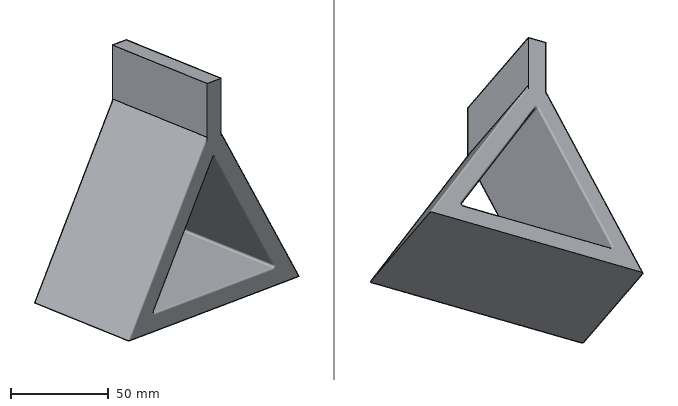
import cadquery as cq
import math

width = 70.0
frame_height = 97.0
plate_height = 30.0
plate_thickness = 10.0
wall = 10.0
slope_angle = 60.0
window_radius = 1.0
edge_radius = 1.0

slope = math.tan(math.radians(slope_angle))
half_plate = plate_thickness / 2
half_base = half_plate + frame_height / slope
total_height = frame_height + plate_height
apex_height = half_base * slope
window_apex = apex_height - wall / math.cos(math.radians(slope_angle))
window_half_base = (window_apex - wall) / slope


def side_prism(points):
    """Extrude a closed YZ outline over the full width, centred on X = 0."""
    return cq.Workplane("YZ").polyline(points).close().extrude(width / 2, both=True)


def make_body():
    """Triangular frame and upright plate, with both end edges of each slope rounded."""
    body = side_prism([
        (-half_base, 0),
        (half_base, 0),
        (half_plate, frame_height),
        (half_plate, total_height),
        (-half_plate, total_height),
        (-half_plate, frame_height),
    ])
    end_faces = body.faces("<X or >X")
    slope_edges = end_faces.edges("not (|Y or |Z)")
    return slope_edges.fillet(edge_radius)


def make_window():
    """Round-cornered triangular prism spanning the full width."""
    window = side_prism([
        (-window_half_base, wall),
        (window_half_base, wall),
        (0, window_apex),
    ])
    return window.edges("|X").fillet(window_radius)


def cut_window(body):
    """Cut the window through the frame and round its rim on both end faces."""
    pierced = body.cut(make_window())
    window_rims = []
    for end_face in pierced.faces("<X or >X").vals():
        for rim in end_face.innerWires():
            window_rims.extend(rim.Edges())
    return pierced.newObject(window_rims).fillet(edge_radius)


result = cut_window(make_body())